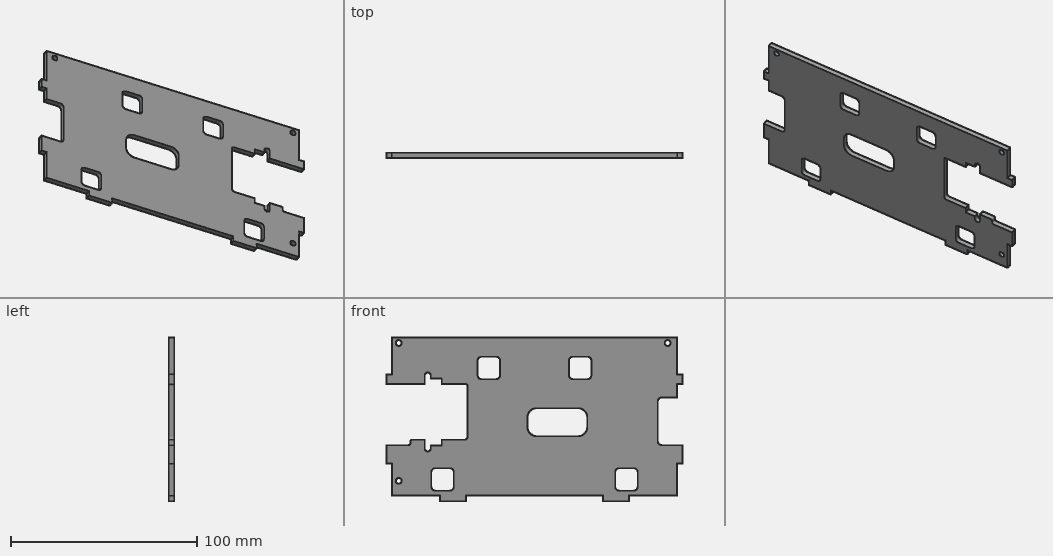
import cadquery as cq

length = 159.0
height = 88.0
thickness = 3.0

tab_reach = thickness
body_half = length / 2 - tab_reach
body_bottom = tab_reach

upper_tab_bottom = 62.8
upper_tab_top = 68.0
lower_tab_bottom = 20.2
lower_tab_top = 30.2

foot_width = 14.0
foot_offset = 43.7

notch_bottom = 33.0
notch_top = upper_tab_bottom
notch_middle = (notch_bottom + notch_top) / 2
notch_end = -36.0
notch_lip = -66.6
notch_radius = 1.0
notch_lower_radius = 1.6
relief_height = 35.8
relief_end = -49.8
slot_height = 42.3
slot_left = -58.8
slot_width = 3.2

right_notch_start = 66.1
right_notch_top = 55.6
right_notch_radius = 2.0

window_size = 12.0
window_radius = 2.0
window_pairs = [(24.5, 71.5), (49.3, 11.8)]

opening_length = 32.0
opening_height = 15.0
opening_radius = 5.0
opening_centre = (12.2, 42.5)

hole_diameter = 3.0
hole_left = -72.8
hole_right = 71.4
hole_top = 84.9
hole_bottom = 11.0
hole_centres = [(hole_left, hole_top), (hole_right, hole_top), (hole_left, hole_bottom)]


def block(left, right, bottom, top):
    """Plate-thick block between the given X and Z limits, centred on Y = 0."""
    centre = ((left + right) / 2, 0, (bottom + top) / 2)
    return cq.Workplane("XY").box(right - left, thickness, top - bottom).translate(centre)


def rounded_block(centre, width, tall, radius):
    """Plate-thick block with its four corners rounded."""
    x, z = centre
    blank = block(x - width / 2, x + width / 2, z - tall / 2, z + tall / 2)
    return blank.edges("|Y").fillet(radius)


def make_blank():
    """Body with its side tabs and feet."""
    blank = block(-body_half, body_half, body_bottom, height)
    for bottom, top in [(upper_tab_bottom, upper_tab_top), (lower_tab_bottom, lower_tab_top)]:
        blank = blank.union(block(-length / 2, length / 2, bottom, top))
    for x in (-foot_offset, foot_offset):
        blank = blank.union(block(x - foot_width / 2, x + foot_width / 2, 0, lower_tab_bottom))
    return blank


def make_left_notch():
    """Main notch, its taller mouth, the stepped relief and the slot."""
    outline = [
        (-length / 2, notch_top),
        (notch_end, notch_top),
        (notch_end, notch_bottom),
        (notch_lip, notch_bottom),
        (notch_lip, lower_tab_top),
        (-length / 2, lower_tab_top),
    ]
    notch = cq.Workplane("XZ").polyline(outline).close().extrude(thickness / 2, both=True)
    corners = [
        (notch_end, notch_top, notch_radius),
        (notch_end, notch_bottom, notch_lower_radius),
        (notch_lip, notch_bottom, notch_radius),
        (notch_lip, lower_tab_top, notch_radius),
    ]
    for x, z, radius in corners:
        notch = notch.edges(cq.selectors.NearestToPointSelector((x, 0, z))).fillet(radius)
    relief = block(
        slot_left, relief_end, notch_middle - relief_height / 2, notch_middle + relief_height / 2
    )
    slot_centre = (slot_left + slot_width / 2, notch_middle)
    slot = (
        cq.Workplane("XZ")
        .center(*slot_centre)
        .slot2D(slot_height, slot_width, 90)
        .extrude(thickness / 2, both=True)
    )
    return notch.union(relief).union(slot)


def make_right_notch():
    """Notch from the lower tab upward, with rounded inner corners."""
    notch = block(right_notch_start, length / 2, lower_tab_top, right_notch_top)
    return notch.edges("|Y and <X").fillet(right_notch_radius)


result = make_blank().cut(make_left_notch()).cut(make_right_notch())

for offset, z in window_pairs:
    for x in (-offset, offset):
        result = result.cut(rounded_block((x, z), window_size, window_size, window_radius))

result = result.cut(rounded_block(opening_centre, opening_length, opening_height, opening_radius))

holes = (
    cq.Workplane("XZ")
    .pushPoints(hole_centres)
    .circle(hole_diameter / 2)
    .extrude(thickness / 2, both=True)
)
result = result.cut(holes)